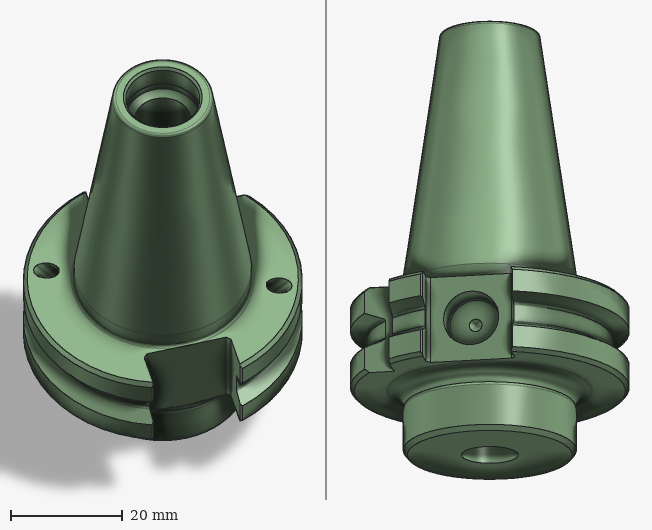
import cadquery as cq
import math

OVERLAP = 1.0

SHANK_TOP_Z = 47.65
GAUGE_RADIUS = 31.75 / 2
TAPER_SLOPE = 7 / 48
SHANK_TOP_RADIUS = GAUGE_RADIUS - SHANK_TOP_Z * TAPER_SLOPE
SHANK_TOP_FILLET = 0.6
SHANK_ROOT_FILLET = 0.5

FLANGE_RADIUS = 49.95 / 2
FLANGE_TOP_Z = -3.15
FLANGE_BOTTOM_Z = -19.05
FLANGE_CHAMFER = 0.7
FLANGE_MID_Z = (FLANGE_TOP_Z + FLANGE_BOTTOM_Z) / 2

GROOVE_FLOOR_RADIUS = 22.05
GROOVE_MOUTH_WIDTH = 6.4
GROOVE_FLOOR_WIDTH = 3.75
GROOVE_FILLET = 0.5

NOSE_RADIUS = 15.5
NOSE_BOTTOM_Z = SHANK_TOP_Z - 78.65
NOSE_CHAMFER_HEIGHT = 0.9
NOSE_CHAMFER_WIDTH = 0.75
NECK_RADIUS = 15.35
NECK_FILLET = 3.0
NECK_TAPER_HEIGHT = 0.5

BORE_RADIUS = 10.1 / 2
MOUTH_RADIUS = 13.2 / 2
MOUTH_DEPTH = 4.2
STEP_RADIUS = 13.0 / 2
STEP_DEPTH = 5.5
MOUTH_CHAMFER = 0.45
BORE_CONE_HALF_ANGLE = 60

SLOT_WIDTH = 16.1
SLOT_FLOOR_LEFT_X = -18.9
SLOT_FLOOR_RIGHT_X = 16.25
SLOT_CORNER_CHAMFER = 0.7
SLOT_MOUTH_X = 23.17

NOTCH_X = -14.8
NOTCH_Y = 14.75

COOLANT_RADIUS = 3.5 / 2
COOLANT_ENTRY_RADIUS = 20.9
COOLANT_TILT = 40
COOLANT_AZIMUTHS = (70, 250)

POCKET_RADIUS = 10.0 / 2
POCKET_DEPTH = 4.6
POCKET_BEVEL = 0.3
PLUG_RADIUS = POCKET_RADIUS - POCKET_BEVEL
PLUG_THICKNESS = 3.0
PLUG_DIMPLE_RADIUS = 1.15
PLUG_DIMPLE_DEPTH = 0.7
PLUG_FACE_X = SLOT_FLOOR_LEFT_X + POCKET_DEPTH


def fillet_point(center_r, center_z, radius, angle):
    """Point of an arc in the radius-height plane."""
    turn = math.radians(angle)
    return (center_r + radius * math.cos(turn), center_z + radius * math.sin(turn))


def turned_blank():
    root_r = GAUGE_RADIUS + SHANK_ROOT_FILLET
    root_z = FLANGE_TOP_Z + SHANK_ROOT_FILLET
    neck_r = NECK_RADIUS + NECK_FILLET
    neck_z = FLANGE_BOTTOM_Z - NECK_FILLET
    blank = (
        cq.Workplane("XZ")
        .moveTo(0, SHANK_TOP_Z)
        .lineTo(SHANK_TOP_RADIUS, SHANK_TOP_Z)
        .lineTo(GAUGE_RADIUS, 0)
        .lineTo(GAUGE_RADIUS, root_z)
        .threePointArc(fillet_point(root_r, root_z, SHANK_ROOT_FILLET, 225), (root_r, FLANGE_TOP_Z))
        .lineTo(FLANGE_RADIUS - FLANGE_CHAMFER, FLANGE_TOP_Z)
        .lineTo(FLANGE_RADIUS, FLANGE_TOP_Z - FLANGE_CHAMFER)
        .lineTo(FLANGE_RADIUS, FLANGE_BOTTOM_Z + FLANGE_CHAMFER)
        .lineTo(FLANGE_RADIUS - FLANGE_CHAMFER, FLANGE_BOTTOM_Z)
        .lineTo(neck_r, FLANGE_BOTTOM_Z)
        .threePointArc(fillet_point(neck_r, neck_z, NECK_FILLET, 135), (NECK_RADIUS, neck_z))
        .lineTo(NOSE_RADIUS, neck_z - NECK_TAPER_HEIGHT)
        .lineTo(NOSE_RADIUS, NOSE_BOTTOM_Z + NOSE_CHAMFER_HEIGHT)
        .lineTo(NOSE_RADIUS - NOSE_CHAMFER_WIDTH, NOSE_BOTTOM_Z)
        .lineTo(0, NOSE_BOTTOM_Z)
        .close()
        .revolve(360, (0, 0), (0, 1))
    )
    return blank.faces(">Z").edges().fillet(SHANK_TOP_FILLET)


def groove_cutter():
    """Ring with sloped sides whose inner edges are rounded."""
    half_floor = GROOVE_FLOOR_WIDTH / 2
    half_mouth = GROOVE_MOUTH_WIDTH / 2
    outer_radius = FLANGE_RADIUS + OVERLAP
    ring = (
        cq.Workplane("XZ")
        .moveTo(GROOVE_FLOOR_RADIUS, FLANGE_MID_Z - half_floor)
        .lineTo(FLANGE_RADIUS, FLANGE_MID_Z - half_mouth)
        .lineTo(outer_radius, FLANGE_MID_Z - half_mouth)
        .lineTo(outer_radius, FLANGE_MID_Z + half_mouth)
        .lineTo(FLANGE_RADIUS, FLANGE_MID_Z + half_mouth)
        .lineTo(GROOVE_FLOOR_RADIUS, FLANGE_MID_Z + half_floor)
        .close()
        .revolve(360, (0, 0), (0, 1))
    )
    floor_edges = cq.selectors.RadiusNthSelector(0)
    return ring.edges("%CIRCLE").edges(floor_edges).fillet(GROOVE_FILLET)


def bore_cutter():
    step_z = SHANK_TOP_Z - STEP_DEPTH
    mouth_z = SHANK_TOP_Z - MOUTH_DEPTH
    cone_height = (STEP_RADIUS - BORE_RADIUS) / math.tan(math.radians(BORE_CONE_HALF_ANGLE))
    return (
        cq.Workplane("XZ")
        .moveTo(0, SHANK_TOP_Z)
        .lineTo(MOUTH_RADIUS + MOUTH_CHAMFER, SHANK_TOP_Z)
        .lineTo(MOUTH_RADIUS, SHANK_TOP_Z - MOUTH_CHAMFER)
        .lineTo(MOUTH_RADIUS, mouth_z)
        .lineTo(STEP_RADIUS, mouth_z)
        .lineTo(STEP_RADIUS, step_z)
        .lineTo(BORE_RADIUS, step_z - cone_height)
        .lineTo(BORE_RADIUS, NOSE_BOTTOM_Z)
        .lineTo(0, NOSE_BOTTOM_Z)
        .close()
        .revolve(360, (0, 0), (0, 1))
    )


def slot_cutter(floor_x):
    """Drive slot running outwards from its floor, with bevelled inner corners and a flared mouth."""
    side = math.copysign(1, floor_x)
    half_width = SLOT_WIDTH / 2
    outer_x = FLANGE_RADIUS + OVERLAP
    half_profile = [
        (floor_x, half_width - SLOT_CORNER_CHAMFER),
        (floor_x + side * SLOT_CORNER_CHAMFER, half_width),
        (side * SLOT_MOUTH_X, half_width),
        (side * outer_x, half_width + outer_x - SLOT_MOUTH_X),
    ]
    mirrored = [(x, -y) for x, y in reversed(half_profile)]
    bottom_z = FLANGE_BOTTOM_Z - NECK_FILLET
    return (
        cq.Workplane("XY", origin=(0, 0, bottom_z))
        .polyline(half_profile + mirrored)
        .close()
        .extrude(FLANGE_TOP_Z - bottom_z)
    )


def notch_cutter():
    """Corner cut over the full height of the flange."""
    size_x = FLANGE_RADIUS + NOTCH_X
    size_y = FLANGE_RADIUS - NOTCH_Y
    height = FLANGE_TOP_Z - FLANGE_BOTTOM_Z
    return (
        cq.Workplane("XY")
        .box(size_x, size_y, height, centered=False)
        .translate((-FLANGE_RADIUS, NOTCH_Y, FLANGE_BOTTOM_Z))
    )


def coolant_cutter(azimuth):
    """Slanted hole from the flange top down to the middle of the bore."""
    turn = math.radians(azimuth)
    tilt = math.radians(COOLANT_TILT)
    outward = cq.Vector(math.cos(turn), math.sin(turn), 0)
    entry = outward * COOLANT_ENTRY_RADIUS + cq.Vector(0, 0, FLANGE_TOP_Z)
    direction = outward * -math.sin(tilt) + cq.Vector(0, 0, -math.cos(tilt))
    lead_in = 2 * COOLANT_RADIUS
    length = lead_in + COOLANT_ENTRY_RADIUS / math.sin(tilt)
    hole = cq.Solid.makeCylinder(COOLANT_RADIUS, length, entry - direction * lead_in, direction)
    return cq.Workplane("XY").add(hole)


def pocket_cutter():
    """Blind round pocket with a bevelled floor corner."""
    return (
        cq.Workplane("YZ", origin=(SLOT_FLOOR_LEFT_X, 0, FLANGE_MID_Z))
        .circle(POCKET_RADIUS)
        .extrude(POCKET_DEPTH)
        .faces(">X")
        .chamfer(POCKET_BEVEL)
    )


def plug_blank():
    """Plain disc that fills the seat behind the pocket floor."""
    return (
        cq.Workplane("YZ", origin=(PLUG_FACE_X, 0, FLANGE_MID_Z))
        .circle(PLUG_RADIUS)
        .extrude(PLUG_THICKNESS)
    )


def make_holder():
    holder = turned_blank().cut(groove_cutter()).cut(bore_cutter())
    for floor_x in (SLOT_FLOOR_LEFT_X, SLOT_FLOOR_RIGHT_X):
        holder = holder.cut(slot_cutter(floor_x))
    holder = holder.cut(notch_cutter())
    for azimuth in COOLANT_AZIMUTHS:
        holder = holder.cut(coolant_cutter(azimuth))
    return holder.cut(pocket_cutter()).cut(plug_blank())


def make_plug():
    """Disc with a conical centre dimple in its outer face."""
    dimple = cq.Solid.makeCone(
        PLUG_DIMPLE_RADIUS,
        0,
        PLUG_DIMPLE_DEPTH,
        cq.Vector(PLUG_FACE_X, 0, FLANGE_MID_Z),
        cq.Vector(1, 0, 0),
    )
    return plug_blank().cut(cq.Workplane("XY").add(dimple))


holder = make_holder()
plug = make_plug()
result = cq.Compound.makeCompound([holder.val(), plug.val()])